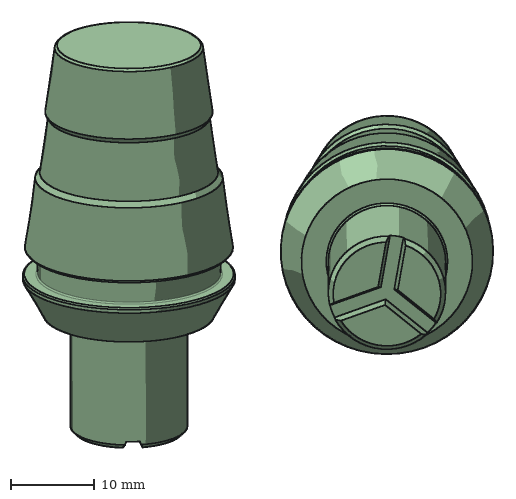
import cadquery as cq
import math

height = 48.8
flange_radius = 12.75

shank_radius = 7.05
shank_chamfer = 0.6
shank_relief = 0.25

flange_bottom_z = 14.75
flange_bottom_radius = 10.25
flange_rim_low_z = 19.25
flange_top_z = 19.85
flange_edge_break = 0.2

neck_radius = 11.0
neck_fillet = 0.2

taper = math.tan(math.radians(8))
lower_stage_z = 22.9
lower_stage_radius = 12.5
lower_stage_top_z = 32.05
lower_edge_chamfer = 0.35
middle_stage_z = 32.7
middle_stage_radius = 10.7
middle_stage_top_z = 39.75
upper_stage_z = 40.35
upper_stage_radius = 10.05
top_edge_chamfer = 0.3

slot_count = 3
slot_mouth_width = 2.4
slot_floor_width = 1.6
slot_depth = 1.0
first_slot_angle = 90


def tapered_radius(base_radius, base_z, z):
    """Radius of a tapered stage at height z."""
    return base_radius - taper * (z - base_z)


def turned_body():
    lower_taper_z = lower_stage_z + lower_edge_chamfer
    lower_top_radius = tapered_radius(lower_stage_radius, lower_taper_z, lower_stage_top_z)
    middle_top_radius = tapered_radius(middle_stage_radius, middle_stage_z, middle_stage_top_z)
    top_edge_z = height - top_edge_chamfer
    top_edge_radius = tapered_radius(upper_stage_radius, upper_stage_z, top_edge_z)

    profile = (
        cq.Workplane("XZ")
        .lineTo(shank_radius - shank_chamfer, 0)
        .lineTo(shank_radius, shank_chamfer)
        .lineTo(shank_radius, flange_bottom_z - shank_relief)
        .lineTo(shank_radius + shank_relief, flange_bottom_z)
        .lineTo(flange_bottom_radius, flange_bottom_z)
        .lineTo(flange_radius, flange_rim_low_z)
        .lineTo(flange_radius, flange_top_z - flange_edge_break)
        .lineTo(flange_radius - flange_edge_break, flange_top_z)
        .lineTo(neck_radius + neck_fillet, flange_top_z)
        .radiusArc((neck_radius, flange_top_z + neck_fillet), neck_fillet)
        .lineTo(neck_radius, lower_stage_z)
        .lineTo(lower_stage_radius - lower_edge_chamfer, lower_stage_z)
        .lineTo(lower_stage_radius, lower_taper_z)
        .lineTo(lower_top_radius, lower_stage_top_z)
        .lineTo(middle_stage_radius, middle_stage_z)
        .lineTo(middle_top_radius, middle_stage_top_z)
        .lineTo(upper_stage_radius, upper_stage_z)
        .lineTo(top_edge_radius, top_edge_z)
        .lineTo(top_edge_radius - top_edge_chamfer, height)
        .lineTo(0, height)
        .close()
    )
    return profile.revolve(360, (0, 0, 0), (0, 1, 0))


def radial_slot(angle):
    """Slot cutter running from the axis out through the shank wall."""
    slot = (
        cq.Workplane("YZ")
        .moveTo(-slot_mouth_width / 2, 0)
        .lineTo(slot_mouth_width / 2, 0)
        .lineTo(slot_floor_width / 2, slot_depth)
        .lineTo(-slot_floor_width / 2, slot_depth)
        .close()
        .extrude(flange_radius)
    )
    return slot.rotate((0, 0, 0), (0, 0, 1), angle)


result = turned_body()
for index in range(slot_count):
    slot_angle = first_slot_angle + index * 360 / slot_count
    result = result.cut(radial_slot(slot_angle))